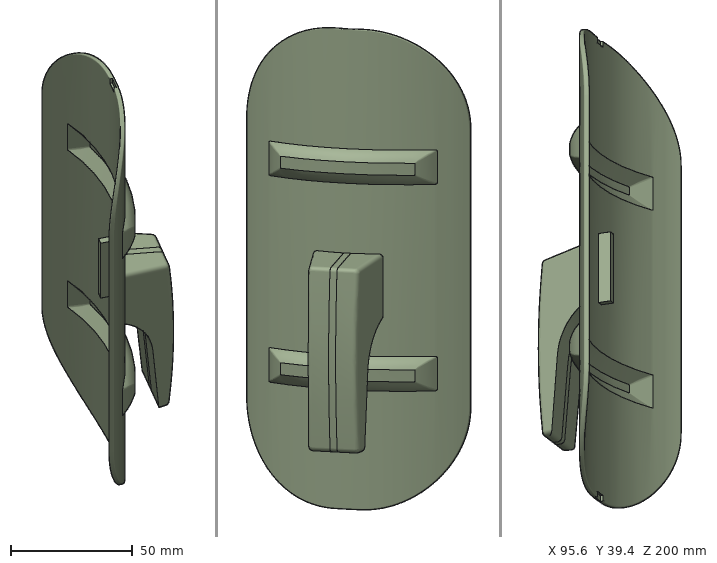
import cadquery as cq
import math


plate_width = 95.58
plate_height = 200.0
plate_thickness = 2.0
corner_radius = 42.0
back_radius = 80.7
front_radius = back_radius - plate_thickness
rim_fillet = 0.5

notch_width = 5.5
notch_height = 2.5
notch_depth = plate_thickness / 2

trough_offset = 43.0
trough_depth = 4.2
trough_corner_fillet = 1.0
pocket_mouth_length = 70.6
pocket_floor_length = 56.6
pocket_mouth_height = 14.4
pocket_floor_height = 3.6
ridge_base_length = 72.0
ridge_top_length = 57.6
ridge_base_height = 14.4
ridge_top_height = 5.0
ridge_bulge = 0.5

hook_reach = 21.7
hook_root_width = 29.4
hook_side_slope = 0.2
hook_fillet = 2.0
hook_root_y = -4.0
hook_tip_z = -73.0
hook_top_root = (hook_root_y, 7.4)
hook_top_outer = (19.6, 3.6)
hook_bulge = (hook_reach, -32.5)
hook_tip_outer = (19.4, hook_tip_z)
hook_tip_inner = (14.6, hook_tip_z)
hook_throat_start = (11.8, -39.8)
hook_throat_middle = (6.0, -25.3)
hook_throat_end = (-1.7, -19.1)
hook_throat_root = (hook_root_y, -17.6)
core_thickness = 3.0

tongue_height = 30.0
tongue_front_y = -7.3


def bend_cylinder(radius):
    """Solid cylinder about the bend axis, as tall as the plate."""
    return cq.Workplane("XY").center(0, -back_radius).circle(radius).extrude(plate_height / 2, both=True)


def arc_y(radius, x):
    """Y, at the given X, of a circle of the given radius about the bend axis."""
    return math.sqrt(radius**2 - x**2) - back_radius


def draw_wall(outline, start, end, bulge):
    """Extends the outline from start to end, straight or bowed to the right of travel by bulge."""
    if bulge == 0:
        return outline.lineTo(*end)
    run = end[0] - start[0]
    rise = end[1] - start[1]
    length = math.hypot(run, rise)
    middle_x = (start[0] + end[0]) / 2 + bulge * rise / length
    middle_y = (start[1] + end[1]) / 2 - bulge * run / length
    return outline.threePointArc((middle_x, middle_y), end)


def trough_outline(plane, half_foot, foot_level, half_top, top_level, roof_level, bulge):
    """Closed symmetric outline: sloping walls from the foot to the top, then straight up to the roof."""
    right_foot = (half_foot, foot_level)
    left_foot = (-half_foot, foot_level)
    right_top = (half_top, top_level)
    left_top = (-half_top, top_level)
    outline = cq.Workplane(plane).moveTo(*left_foot).lineTo(*right_foot)
    outline = draw_wall(outline, right_foot, right_top, bulge)
    outline = outline.lineTo(half_top, roof_level).lineTo(-half_top, roof_level).lineTo(*left_top)
    outline = draw_wall(outline, left_top, left_foot, bulge)
    return outline.close()


def make_trough(inner_radius, length, top_length, height, top_height, bulge):
    """Bar that follows the bend and tapers on all four sides, from inner_radius out to its top."""
    outer_radius = inner_radius + trough_depth
    section_plane = cq.Plane((0, -back_radius, 0), xDir=(0, 0, -1), normal=(1, 0, 0))
    ring = trough_outline(
        section_plane,
        height / 2,
        inner_radius,
        top_height / 2,
        outer_radius,
        outer_radius + trough_depth,
        bulge,
    ).revolve(360, (0, 0, 0), (1, 0, 0))
    ring = ring.intersect(bend_cylinder(outer_radius))
    ends = trough_outline(
        "XY",
        length / 2,
        arc_y(inner_radius, length / 2),
        top_length / 2,
        arc_y(outer_radius, top_length / 2),
        2 * trough_depth,
        bulge,
    ).extrude(height, both=True)
    return ring.intersect(ends).edges("not (%LINE or %CIRCLE)").fillet(trough_corner_fillet)


def make_plate():
    outline = (
        cq.Workplane("XZ")
        .rect(plate_width, plate_height)
        .extrude(back_radius, both=True)
        .edges("|Y")
        .fillet(corner_radius)
    )
    shell = bend_cylinder(back_radius).cut(bend_cylinder(front_radius))
    plate = shell.intersect(outline).edges("not |Y").fillet(rim_fillet)
    ridge = make_trough(
        back_radius,
        ridge_base_length,
        ridge_top_length,
        ridge_base_height,
        ridge_top_height,
        ridge_bulge,
    )
    pocket = make_trough(
        front_radius,
        pocket_mouth_length,
        pocket_floor_length,
        pocket_mouth_height,
        pocket_floor_height,
        bulge=0,
    )
    notch = cq.Workplane("XY").box(notch_width, 2 * notch_depth, 2 * notch_height)
    for side in (1, -1):
        trough_place = (0, 0, side * trough_offset)
        notch_place = (0, -plate_thickness, side * plate_height / 2)
        plate = plate.union(ridge.translate(trough_place))
        plate = plate.cut(pocket.translate(trough_place))
        plate = plate.cut(notch.translate(notch_place))
    return plate


def make_hook():
    """Whole hook, tapered toward its outer face, with its root trimmed to the plate's back."""
    profile = (
        cq.Workplane("YZ")
        .moveTo(*hook_top_root)
        .lineTo(*hook_top_outer)
        .threePointArc(hook_bulge, hook_tip_outer)
        .lineTo(*hook_tip_inner)
        .lineTo(*hook_throat_start)
        .threePointArc(hook_throat_middle, hook_throat_end)
        .lineTo(*hook_throat_root)
        .close()
        .extrude(hook_root_width, both=True)
    )
    taper_end_y = 2 * hook_reach
    half_root = hook_root_width / 2 - hook_side_slope * hook_root_y
    half_end = hook_root_width / 2 - hook_side_slope * taper_end_y
    taper = (
        cq.Workplane("XY")
        .moveTo(-half_root, hook_root_y)
        .lineTo(half_root, hook_root_y)
        .lineTo(half_end, taper_end_y)
        .lineTo(-half_end, taper_end_y)
        .close()
        .extrude(plate_height / 2, both=True)
    )
    hook = profile.intersect(taper)
    side = hook_root_width
    far = plate_height
    outer_rim = cq.selectors.BoxSelector((-side, hook_tip_inner[0] + 1, -far), (side, far, far))
    top_sides = cq.selectors.BoxSelector((-side, 0, 0), (side, far, far))
    tip_edges = cq.selectors.BoxSelector((-side, 0, -far), (side, far, hook_tip_z + 1))
    hook = hook.edges(outer_rim + top_sides + tip_edges).fillet(hook_fillet)
    return hook.cut(bend_cylinder(back_radius))


def make_cheek(hook, side):
    """The part of the hook beside the core, on the side +1 or -1."""
    half_space = cq.Workplane("XY").box(hook_root_width, plate_height, plate_height)
    offset = (core_thickness + hook_root_width) / 2
    return hook.intersect(half_space.translate((side * offset, 0, 0)))


def make_core(hook):
    return hook.intersect(cq.Workplane("XY").box(core_thickness, plate_height, plate_height))


def make_tongue():
    """Bar that sits on the plate's concave front face."""
    bar = cq.Workplane("XY").box(core_thickness, -2 * tongue_front_y, tongue_height)
    return bar.intersect(bend_cylinder(front_radius))


plate = make_plate()
whole_hook = make_hook()
core = make_core(whole_hook)
cheeks = [make_cheek(whole_hook, side) for side in (1, -1)]
tongue = make_tongue()

bodies = [plate, core, *cheeks, tongue]
result = cq.Compound.makeCompound([body.solids().val() for body in bodies])